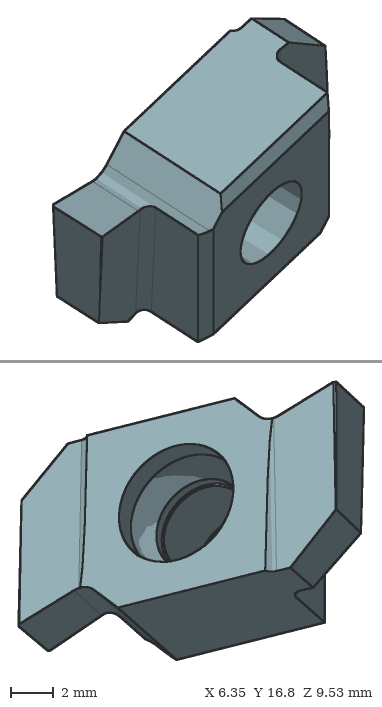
import cadquery as cq
import math

length = 16.8
height = 9.53
thickness = 6.35

half_length = length / 2
half_height = height / 2
flank_start = 3.09
tip_height = 4.35
rake_angle = 20.0
valley_radius = 1.0
heel_chamfer = 2.52

body_half_length = 4.74
body_chamfer = 0.5

arm_thickness_at_root = 2.75
lean_angle = 2.0
lean_pivot_height = 3.2
outer_side_angle = 3.6
inner_side_angle = -0.8
root_radius = 0.5
inner_root = 4.65

end_lean_angle = 0.6
end_skew_angle = 1.0
outer_corner_chamfer = 0.1
inner_corner_chamfer = 0.1

seat_mouth_radius = 3.02
seat_straight_depth = 1.18
seat_depth = 2.45
seat_curve_radius = 3.36
neck_radius = 2.35
neck_depth = 2.97
hole_radius = 2.23

reach = length


def opposite(point):
    """Half turn of a (Y, Z) point about the X axis."""
    return (-point[0], -point[1])


def half_turn(shape):
    return shape.rotate((0, 0, 0), (1, 0, 0), 180)


def cut_both_ends(body, cutter):
    return body.cut(cutter).cut(half_turn(cutter))


def make_blank():
    rake_slope = math.tan(math.radians(rake_angle))
    rake_run = (tip_height - half_height - flank_start + half_length) / (1 + rake_slope)
    valley = (rake_run - half_length, tip_height - rake_run * rake_slope)
    half_outline = [
        (-flank_start, half_height),
        valley,
        (-half_length, tip_height),
        (-half_length, heel_chamfer - half_height),
        (heel_chamfer - half_length, -half_height),
    ]
    outline = half_outline + [opposite(point) for point in half_outline]
    blank = cq.Workplane("YZ").polyline(outline).close().extrude(thickness)
    for y, z in (valley, opposite(valley)):
        valley_edge = cq.selectors.NearestToPointSelector((thickness / 2, y, z))
        blank = blank.edges(valley_edge).fillet(valley_radius)
    return blank


def make_body_chamfer_cutter():
    """Wedges that bevel the four straight outer edges of the body."""
    envelope = (
        cq.Workplane("XY")
        .box(thickness, 2 * body_half_length, height, centered=(False, True, True))
    )
    return envelope.cut(envelope.faces(">X").edges().chamfer(body_chamfer))


def side_cutter(root_x, root_y, side_angle, corner_chamfer, direction):
    """Clear one side of the -Y arm, with a rounded root at the body.

    The side face opens outward by side_angle towards -Y (inward if negative)
    and leans with height; direction is +1 for the outer side (+X) and -1 for the mounting side.
    """
    corner_y = corner_chamfer - half_length
    side_shift = (root_y - corner_y) * math.tan(math.radians(side_angle))
    corner_x = root_x + direction * side_shift
    bevel_end = (corner_x - direction * 2 * corner_chamfer, corner_y - 2 * corner_chamfer)
    far_x = root_x + direction * reach
    section = [
        (root_x, root_y),
        (corner_x, corner_y),
        bevel_end,
        (far_x, bevel_end[1]),
        (far_x, root_y),
    ]
    cutter = (
        cq.Workplane("XY").workplane(offset=-reach)
        .polyline(section).close()
        .extrude(2 * reach)
    )
    root_edge = cq.selectors.NearestToPointSelector((root_x, root_y, 0))
    cutter = cutter.edges("|Z").edges(root_edge).fillet(root_radius)
    pivot = (root_x, 0, lean_pivot_height)
    pivot_axis_end = (root_x, 1, lean_pivot_height)
    return cutter.rotate(pivot, pivot_axis_end, direction * lean_angle)


def make_end_cutter():
    """Block beyond the relieved -Y end face, pivoting on the cutting tip."""
    skew_start = (inner_corner_chamfer, -half_length, 0)
    skew_axis_end = (inner_corner_chamfer, -half_length, 1)
    return (
        cq.Workplane("XY")
        .box(2 * reach, reach, 2 * reach)
        .translate((0, -half_length - reach / 2, 0))
        .rotate((0, -half_length, tip_height), (1, -half_length, tip_height), end_lean_angle)
        .rotate(skew_start, skew_axis_end, end_skew_angle)
    )


def make_hole():
    """Revolve the hole profile, with a gently hollow seat for the screw head."""
    return (
        cq.Workplane("XY")
        .lineTo(0, seat_mouth_radius)
        .lineTo(seat_straight_depth, seat_mouth_radius)
        .radiusArc((seat_depth, neck_radius), seat_curve_radius)
        .lineTo(neck_depth, neck_radius)
        .lineTo(neck_depth, hole_radius)
        .lineTo(thickness, hole_radius)
        .lineTo(thickness, 0)
        .close()
        .revolve(360, (0, 0, 0), (1, 0, 0))
    )


outer_cutter = side_cutter(
    arm_thickness_at_root, -body_half_length, outer_side_angle, outer_corner_chamfer, 1
)
inner_cutter = side_cutter(0, -inner_root, inner_side_angle, inner_corner_chamfer, -1)
result = make_blank()
result = cut_both_ends(result, outer_cutter)
result = cut_both_ends(result, inner_cutter)
result = cut_both_ends(result, make_end_cutter())
result = result.cut(make_body_chamfer_cutter())
result = result.cut(make_hole())